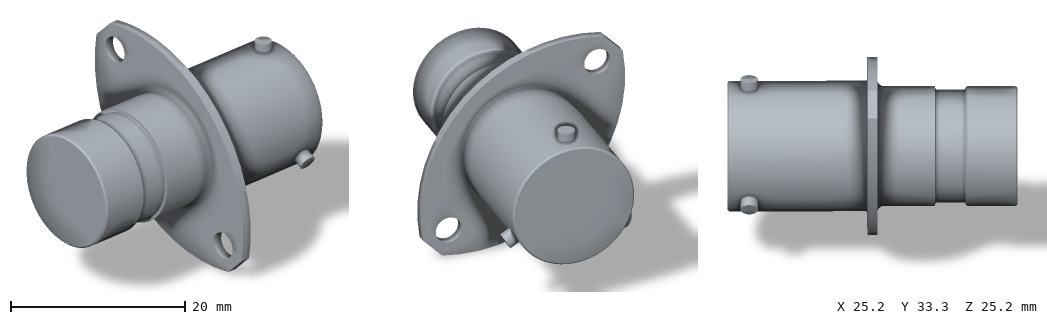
import cadquery as cq
import math

total_length = 33.3
groove_start = 5.75
groove_end = 9.45
flange_front = 16.1
flange_thickness = 1.15
flange_back = flange_front + flange_thickness

plug_radius = 6.9
groove_radius = 6.5
barrel_radius = 7.5

edge_chamfer = 0.2
groove_fillet = 0.2
flare_radius = 0.7
barrel_root_fillet = 0.25

flange_half_size = 12.6
arc_center_offset = 6.65
arc_radius = flange_half_size + arc_center_offset
tip_distance = 15.75
hole_offset = 9.15
hole_radius = 1.6

pin_count = 3
pin_radius = 1.0
pin_tip_radius = 8.65
pin_station = 30.8


def make_turned_body():
    """Solid of revolution: plug, snap groove and rear barrel."""
    root_bend = groove_fillet * (1 - math.sqrt(0.5))
    front_root = groove_start + edge_chamfer
    wall_foot = groove_radius + groove_fillet
    return (
        cq.Workplane("XY")
        .moveTo(0, 0)
        .lineTo(plug_radius - edge_chamfer, 0)
        .lineTo(plug_radius, edge_chamfer)
        .lineTo(plug_radius, groove_start)
        .lineTo(wall_foot, front_root)
        .threePointArc(
            (groove_radius + root_bend, front_root + root_bend),
            (groove_radius, front_root + groove_fillet),
        )
        .lineTo(groove_radius, groove_end - groove_fillet)
        .threePointArc((groove_radius + root_bend, groove_end - root_bend), (wall_foot, groove_end))
        .lineTo(plug_radius, groove_end)
        .lineTo(plug_radius, flange_front)
        .lineTo(barrel_radius, flange_front)
        .lineTo(barrel_radius, total_length - edge_chamfer)
        .lineTo(barrel_radius - edge_chamfer, total_length)
        .lineTo(0, total_length)
        .close()
        .revolve(360, (0, 0, 0), (0, 1, 0))
    )


def make_root_fillet(radius, size, face_station, direction):
    """Ring with a concave quarter-round between a cylinder and a flange face."""
    far_station = face_station + direction * size
    bend = size * (1 - math.sqrt(0.5))
    return (
        cq.Workplane("XY")
        .moveTo(radius - size, face_station)
        .lineTo(radius + size, face_station)
        .threePointArc((radius + bend, face_station + direction * bend), (radius, far_station))
        .lineTo(radius - size, far_station)
        .close()
        .revolve(360, (0, 0, 0), (0, 1, 0))
    )


def flange_disc(x, z, radius):
    """Disc of the flange thickness, centred at the given X and Z."""
    plane = cq.Workplane("XZ", origin=(x, flange_front, z))
    return plane.circle(radius).extrude(-flange_thickness)


def make_flange():
    """Overlap of two discs, with flat tips and a mounting hole near each tip."""
    lower_disc = flange_disc(-arc_center_offset, -arc_center_offset, arc_radius)
    upper_disc = flange_disc(arc_center_offset, arc_center_offset, arc_radius)
    tip_limits = (
        cq.Workplane("XY")
        .box(2 * tip_distance, 2 * total_length, 2 * arc_radius)
        .rotate((0, 0, 0), (0, 1, 0), 45)
    )
    blank = lower_disc.intersect(upper_disc).intersect(tip_limits)
    for side in (-1, 1):
        blank = blank.cut(flange_disc(side * hole_offset, -side * hole_offset, hole_radius))
    return blank


def make_housing():
    """One-piece housing with its mounting flange."""
    front_flare = make_root_fillet(plug_radius, flare_radius, flange_front, -1)
    barrel_root = make_root_fillet(barrel_radius, barrel_root_fillet, flange_back, 1)
    return make_turned_body().union(make_flange()).union(front_flare).union(barrel_root)


def make_pin(angle):
    """Radial pin whose base is curved to sit on the barrel."""
    barrel = cq.Workplane("XZ").circle(barrel_radius).extrude(-total_length)
    return (
        cq.Workplane("XY", origin=(0, pin_station, 0))
        .circle(pin_radius)
        .extrude(pin_tip_radius)
        .cut(barrel)
        .rotate((0, 0, 0), (0, 1, 0), angle)
    )


housing = make_housing()
pins = []
for index in range(pin_count):
    pins.append(make_pin(index * 360 / pin_count).val())

result = cq.Compound.makeCompound([housing.val(), *pins])